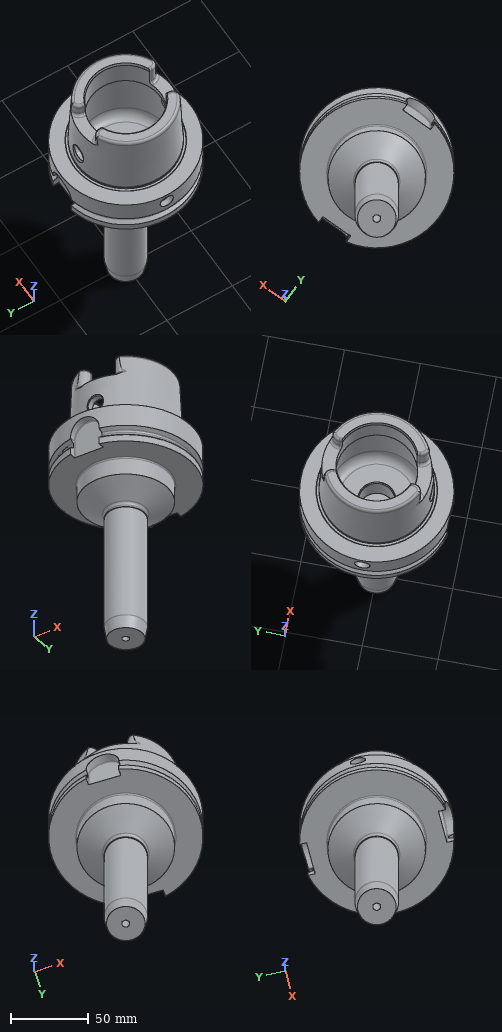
import cadquery as cq
import math


TAPER_HEIGHT = 50.0
TAPER_BASE_RADIUS = 37.6
TAPER_SLOPE = 0.05
TAPER_LAND = 2.4
RIM_ROUND = 2.0

RELIEF_RADIUS = 39.3
RELIEF_DEPTH = 0.3
UNDERCUT_TOP_Z = 1.3
UNDERCUT_DEPTH = 0.2

FLANGE_RADIUS = 50.0
FLANGE_HEIGHT = 28.8
GROOVE_CENTRE_Z = -20.0
GROOVE_ROOT_RADIUS = 46.4
GROOVE_ROOT_WIDTH = 3.0
GROOVE_FLANK_ANGLE = 30.0
GROOVE_ROOT_ROUND = 1.5

COLLAR_RADIUS = 31.6
COLLAR_BOTTOM_Z = -42.0
COLLAR_ROOT_ROUND = 0.8
CONE_ANGLE = 60.0
NECK_RADIUS = 13.7
NECK_ROUND = 2.5
NECK_BOTTOM_Z = -55.4
SHANK_RADIUS = 14.1
SHANK_BOTTOM_Z = -150.0
TIP_LENGTH = 9.0
TIP_ANGLE = 10.0

BORE_RADIUS = 26.5
BORE_BOTTOM_Z = 30.0
BORE_CHAMFER_WIDTH = 0.7
BORE_CHAMFER_HEIGHT = 1.8
CLAMP_RADIUS = 31.5
CLAMP_BOTTOM_Z = -17.0
CLAMP_FLOOR_ROUND = 6.7
COOLANT_RADIUS = 11.7
COOLANT_CHAMFER = 0.7
COOLANT_BOTTOM_Z = -35.0
THROUGH_RADIUS = 2.5

SLOT_HALF_WIDTH = 10.0
SLOT_STRAIGHT_Y = 26.47
SLOT_FLARE_RADIUS = 5.2
SLOT_FLOOR_ROUND = 2.1
FRONT_SLOT_FLOOR_Z = 34.3
BACK_SLOT_FLOOR_Z = 40.0

CROSS_HOLE_RADIUS = 5.8
CROSS_HOLE_Z = 14.7
CROSS_HOLE_CHAMFER = 1.0

KEYWAY_RADIUS = 11.0
KEYWAY_TOP_Z = -4.6
KEYWAY_FLOOR_Y = 44.0
KEYWAY_FLOOR_ROUND = 0.3
CHIP_HOLE_RADIUS = 5.0
CHIP_HOLE_DEPTH = 4.6
CHIP_HOLE_Z = -7.3

CLEARANCE = 5.0


def taper_radius(z):
    return TAPER_BASE_RADIUS - TAPER_SLOPE * z


def make_body():
    """Solid of revolution: taper, flange, collar, cone and shank."""
    rim_radius = taper_radius(TAPER_HEIGHT - RIM_ROUND)
    flank_angle = math.radians(GROOVE_FLANK_ANGLE)
    root_half = GROOVE_ROOT_WIDTH / 2
    flank_drop = (FLANGE_RADIUS - GROOVE_ROOT_RADIUS) * math.tan(flank_angle)
    mouth_half = root_half + flank_drop
    root_tangent = GROOVE_ROOT_ROUND * math.tan((math.pi / 2 - flank_angle) / 2)
    round_radius = GROOVE_ROOT_RADIUS + root_tangent * math.cos(flank_angle)
    round_outer_half = root_half + root_tangent * math.sin(flank_angle)
    round_inner_half = root_half - root_tangent
    land_radius = taper_radius(TAPER_LAND)
    undercut_radius = land_radius - UNDERCUT_DEPTH
    relief_floor_radius = RELIEF_RADIUS - RELIEF_DEPTH

    cone_angle = math.radians(CONE_ANGLE)
    cone_end_z = COLLAR_BOTTOM_Z - (COLLAR_RADIUS - NECK_RADIUS) / math.tan(cone_angle)
    neck_tangent = NECK_ROUND * math.tan(cone_angle / 2)
    round_start = (
        NECK_RADIUS + neck_tangent * math.sin(cone_angle),
        cone_end_z + neck_tangent * math.cos(cone_angle),
    )
    round_end = (NECK_RADIUS, cone_end_z - neck_tangent)
    tip_radius = SHANK_RADIUS - TIP_LENGTH * math.tan(math.radians(TIP_ANGLE))

    profile = (
        cq.Workplane("XZ")
        .moveTo(0, TAPER_HEIGHT)
        .lineTo(rim_radius - RIM_ROUND, TAPER_HEIGHT)
        .radiusArc((rim_radius, TAPER_HEIGHT - RIM_ROUND), RIM_ROUND)
        .lineTo(land_radius, TAPER_LAND)
        .lineTo(land_radius, UNDERCUT_TOP_Z)
        .lineTo(undercut_radius, UNDERCUT_TOP_Z)
        .lineTo(undercut_radius, -RELIEF_DEPTH)
        .lineTo(relief_floor_radius, -RELIEF_DEPTH)
        .lineTo(RELIEF_RADIUS, 0)
        .lineTo(FLANGE_RADIUS, 0)
        .lineTo(FLANGE_RADIUS, GROOVE_CENTRE_Z + mouth_half)
        .lineTo(round_radius, GROOVE_CENTRE_Z + round_outer_half)
        .radiusArc((GROOVE_ROOT_RADIUS, GROOVE_CENTRE_Z + round_inner_half), -GROOVE_ROOT_ROUND)
        .lineTo(GROOVE_ROOT_RADIUS, GROOVE_CENTRE_Z - round_inner_half)
        .radiusArc((round_radius, GROOVE_CENTRE_Z - round_outer_half), -GROOVE_ROOT_ROUND)
        .lineTo(FLANGE_RADIUS, GROOVE_CENTRE_Z - mouth_half)
        .lineTo(FLANGE_RADIUS, -FLANGE_HEIGHT)
        .lineTo(COLLAR_RADIUS + COLLAR_ROOT_ROUND, -FLANGE_HEIGHT)
        .radiusArc((COLLAR_RADIUS, -FLANGE_HEIGHT - COLLAR_ROOT_ROUND), -COLLAR_ROOT_ROUND)
        .lineTo(COLLAR_RADIUS, COLLAR_BOTTOM_Z)
        .lineTo(*round_start)
        .radiusArc(round_end, -NECK_ROUND)
        .lineTo(NECK_RADIUS, NECK_BOTTOM_Z)
        .lineTo(SHANK_RADIUS, NECK_BOTTOM_Z)
        .lineTo(SHANK_RADIUS, SHANK_BOTTOM_Z + TIP_LENGTH)
        .lineTo(tip_radius, SHANK_BOTTOM_Z)
        .lineTo(0, SHANK_BOTTOM_Z)
        .close()
    )
    return profile.revolve(360, (0, 0, 0), (0, 1, 0))


def make_cavity():
    """Stepped cavity, coolant bore and through hole along the axis."""
    floor_radius = CLAMP_RADIUS - CLAMP_FLOOR_ROUND
    profile = (
        cq.Workplane("XZ")
        .moveTo(0, TAPER_HEIGHT)
        .lineTo(BORE_RADIUS + BORE_CHAMFER_WIDTH, TAPER_HEIGHT)
        .lineTo(BORE_RADIUS, TAPER_HEIGHT - BORE_CHAMFER_HEIGHT)
        .lineTo(BORE_RADIUS, BORE_BOTTOM_Z)
        .lineTo(CLAMP_RADIUS, BORE_BOTTOM_Z)
        .lineTo(CLAMP_RADIUS, CLAMP_BOTTOM_Z + CLAMP_FLOOR_ROUND)
        .radiusArc((floor_radius, CLAMP_BOTTOM_Z), CLAMP_FLOOR_ROUND)
        .lineTo(COOLANT_RADIUS + COOLANT_CHAMFER, CLAMP_BOTTOM_Z)
        .lineTo(COOLANT_RADIUS, CLAMP_BOTTOM_Z - COOLANT_CHAMFER)
        .lineTo(COOLANT_RADIUS, COOLANT_BOTTOM_Z)
        .lineTo(THROUGH_RADIUS, COOLANT_BOTTOM_Z)
        .lineTo(THROUGH_RADIUS, SHANK_BOTTOM_Z)
        .lineTo(0, SHANK_BOTTOM_Z)
        .close()
    )
    return profile.revolve(360, (0, 0, 0), (0, 1, 0))


def make_drive_slot(floor_z):
    """Cutter for a rim slot on the +Y side.

    The walls flare outward until they run tangent to the taper, and the floor
    edge is rounded. A plate above the rim joins the slot with a fillet that
    rounds over the top edges of the slot walls.
    """
    flare_x = SLOT_HALF_WIDTH + SLOT_FLARE_RADIUS
    tangent_angle = math.atan2(SLOT_STRAIGHT_Y, flare_x)
    end_x = flare_x + SLOT_FLARE_RADIUS * math.cos(tangent_angle)
    end_y = SLOT_STRAIGHT_Y + SLOT_FLARE_RADIUS * math.sin(tangent_angle)
    crest_y = SLOT_STRAIGHT_Y + SLOT_FLARE_RADIUS
    outer = TAPER_BASE_RADIUS + CLEARANCE
    outer_y = end_y - (outer - end_x) / math.tan(tangent_angle)
    slot = (
        cq.Workplane("XY", origin=(0, 0, floor_z))
        .moveTo(SLOT_HALF_WIDTH, 0)
        .lineTo(SLOT_HALF_WIDTH, SLOT_STRAIGHT_Y)
        .threePointArc((flare_x, crest_y), (end_x, end_y))
        .lineTo(outer, outer_y)
        .lineTo(outer, outer)
        .lineTo(-outer, outer)
        .lineTo(-outer, outer_y)
        .lineTo(-end_x, end_y)
        .threePointArc((-flare_x, crest_y), (-SLOT_HALF_WIDTH, SLOT_STRAIGHT_Y))
        .lineTo(-SLOT_HALF_WIDTH, 0)
        .close()
        .extrude(TAPER_HEIGHT - floor_z)
        .faces("<Z")
        .edges()
        .fillet(SLOT_FLOOR_ROUND)
    )
    plate = cq.Workplane("XY", origin=(0, 0, TAPER_HEIGHT)).box(
        2 * outer, outer, CLEARANCE, centered=(True, False, False)
    )
    inset = SLOT_FLOOR_ROUND / 2
    wall_tops = cq.selectors.BoxSelector(
        (inset - outer, inset, TAPER_HEIGHT - inset),
        (outer - inset, outer - inset, TAPER_HEIGHT + inset),
    )
    return slot.union(plate).edges(wall_tops).fillet(RIM_ROUND)


def make_cross_hole():
    """Hole along Y through both walls of the taper, countersunk from outside."""
    wall_y = taper_radius(CROSS_HOLE_Z)
    mouth_radius = CROSS_HOLE_RADIUS + CROSS_HOLE_CHAMFER
    half = (
        cq.Workplane("XY", origin=(0, 0, CROSS_HOLE_Z))
        .lineTo(CROSS_HOLE_RADIUS, 0)
        .lineTo(CROSS_HOLE_RADIUS, wall_y - CROSS_HOLE_CHAMFER)
        .lineTo(mouth_radius, wall_y)
        .lineTo(mouth_radius + CLEARANCE, wall_y + CLEARANCE)
        .lineTo(0, wall_y + CLEARANCE)
        .close()
        .revolve(360, (0, 0, 0), (0, 1, 0))
    )
    return half.union(half.mirror("XZ"))


def make_keyway():
    """Round-topped flat pocket in the +Y side of the flange, open at the bottom."""
    arc_z = KEYWAY_TOP_Z - KEYWAY_RADIUS
    bottom_z = -FLANGE_HEIGHT
    depth = FLANGE_RADIUS + CLEARANCE - KEYWAY_FLOOR_Y
    return (
        cq.Workplane("XZ", origin=(0, KEYWAY_FLOOR_Y, 0))
        .moveTo(-KEYWAY_RADIUS, bottom_z)
        .lineTo(-KEYWAY_RADIUS, arc_z)
        .threePointArc((0, KEYWAY_TOP_Z), (KEYWAY_RADIUS, arc_z))
        .lineTo(KEYWAY_RADIUS, bottom_z)
        .close()
        .extrude(-depth)
        .faces("<Y")
        .edges("not(<Z)")
        .fillet(KEYWAY_FLOOR_ROUND)
    )


def make_chip_hole():
    """Flat-bottomed radial hole in the -X side of the flange."""
    return (
        cq.Workplane("YZ", origin=(-FLANGE_RADIUS - CLEARANCE, 0, CHIP_HOLE_Z))
        .circle(CHIP_HOLE_RADIUS)
        .extrude(CLEARANCE + CHIP_HOLE_DEPTH)
    )


def turned_to_front(cutter):
    """Move a cutter made for the +Y side to the -Y side."""
    return cutter.rotate((0, 0, 0), (0, 0, 1), 180)


body = make_body().cut(make_cavity())
body = body.cut(make_drive_slot(BACK_SLOT_FLOOR_Z))
body = body.cut(turned_to_front(make_drive_slot(FRONT_SLOT_FLOOR_Z)))

keyway = make_keyway()
result = (
    body.cut(make_cross_hole())
    .cut(keyway)
    .cut(turned_to_front(keyway))
    .cut(make_chip_hole())
)